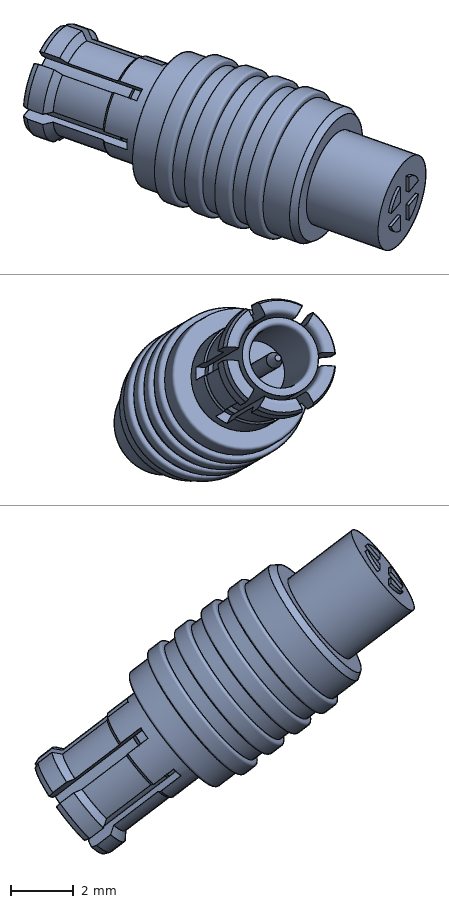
import cadquery as cq


handle_start = 4.2
handle_end = 10.19
handle_radius = 2.31
handle_front_fillet = 0.09
handle_rear_chamfer_length = 0.23
handle_rear_chamfer_height = 0.15

rib_radius = 2.5
rib_count = 4
rib_width = 0.59
rib_pitch = 1.1
rib_first_start = 5.11
rib_fillet = 0.09

overall_length = 12.9
tail_radius = 1.61
pad_height = 0.1
pad_radius = 0.95
pad_gap = 0.57
tail_end = overall_length - pad_height

lip_radius = 1.9
lip_chamfer_length = 0.18
lip_chamfer_height = 0.08
lip_end = 0.75
neck_start = 0.98
neck_radius = 1.64
neck_end = 2.8
collar_start = 2.88
collar_radius = 1.7
finger_bore_radius = 1.39
finger_bore_fillet = 0.15
finger_slot_count = 6
finger_slot_width = 0.43
finger_slot_end = 3.7

tube_start = 0.05
tube_radius = 1.28
root_cone_start = 3.24
root_cone_end = 3.35
tube_bore_radius = 1.0
tube_bore_end = 2.84
tube_rim_fillet = 0.12

pin_radius = 0.26
pin_tip_radius = 0.1
pin_tip_start = 0.3
pin_taper_length = 0.44


def turned(points):
    """Revolve a closed (x, radius) outline about the X axis."""
    return cq.Workplane("XY").polyline(points).close().revolve(360, (0, 0, 0), (1, 0, 0))


def cylinder(start, end, radius):
    """Solid cylinder along X from start to end."""
    return cq.Workplane("YZ", origin=(start, 0, 0)).circle(radius).extrude(end - start)


def make_handle():
    barrel = cylinder(handle_start, handle_end, handle_radius)
    barrel = barrel.faces("<X").edges().fillet(handle_front_fillet)
    chamfer_cut = turned([
        (handle_end - handle_rear_chamfer_length, handle_radius),
        (handle_end, handle_radius - handle_rear_chamfer_height),
        (handle_end, rib_radius),
        (handle_end - handle_rear_chamfer_length, rib_radius),
    ])
    barrel = barrel.cut(chamfer_cut)
    for index in range(rib_count):
        start = rib_first_start + index * rib_pitch
        rib = cylinder(start, start + rib_width, rib_radius).edges().fillet(rib_fillet)
        barrel = barrel.union(rib)
    return barrel


def make_cable_end():
    """Plain tail with a thin round pad split into quarters by a cross-shaped gap."""
    tail = cylinder(handle_end, tail_end, tail_radius)
    pad = cylinder(tail_end, overall_length, pad_radius)
    pad_middle = (tail_end + overall_length) / 2
    across = 2 * pad_radius
    for size_y, size_z in ((across, pad_gap), (pad_gap, across)):
        gap = cq.Workplane("XY").box(pad_height, size_y, size_z)
        pad = pad.cut(gap.translate((pad_middle, 0, 0)))
    return tail.union(pad)


def make_fingers():
    """Sleeve with a flared lip, split by radial slots into spring fingers."""
    sleeve = turned([
        (0, 0),
        (0, lip_radius - lip_chamfer_height),
        (lip_chamfer_length, lip_radius),
        (lip_end, lip_radius),
        (neck_start, neck_radius),
        (neck_end, neck_radius),
        (collar_start, collar_radius),
        (handle_start, collar_radius),
        (handle_start, 0),
    ])
    sleeve = sleeve.cut(cylinder(0, root_cone_end, finger_bore_radius))
    bore_rim = cq.selectors.RadiusNthSelector(0)
    sleeve = sleeve.faces("<X").edges(bore_rim).fillet(finger_bore_fillet)

    slots = cq.Workplane("XY")
    for index in range(finger_slot_count):
        slot = cq.Workplane("XY").box(
            finger_slot_end, lip_radius, finger_slot_width, centered=(False, False, True)
        )
        slots = slots.add(slot.rotate((0, 0, 0), (1, 0, 0), index * 360 / finger_slot_count))
    slot_cut = slots.combine().cut(cylinder(0, finger_slot_end, finger_bore_radius))
    return sleeve.cut(slot_cut)


def make_tube():
    """Thin tube inside the fingers, with a cone at its root that closes the finger bore."""
    tube = turned([
        (tube_start, 0),
        (tube_start, tube_radius),
        (root_cone_start, tube_radius),
        (root_cone_end, finger_bore_radius),
        (root_cone_end, 0),
    ])
    tube = tube.cut(cylinder(tube_start, tube_bore_end, tube_bore_radius))
    bore_rim = cq.selectors.RadiusNthSelector(0)
    return tube.faces("<X").edges(bore_rim).fillet(tube_rim_fillet)


def make_pin():
    return turned([
        (pin_tip_start, 0),
        (pin_tip_start, pin_tip_radius),
        (pin_tip_start + pin_taper_length, pin_radius),
        (tube_bore_end, pin_radius),
        (tube_bore_end, 0),
    ])


result = (
    make_fingers()
    .union(make_tube())
    .union(make_pin())
    .union(make_handle())
    .union(make_cable_end())
)